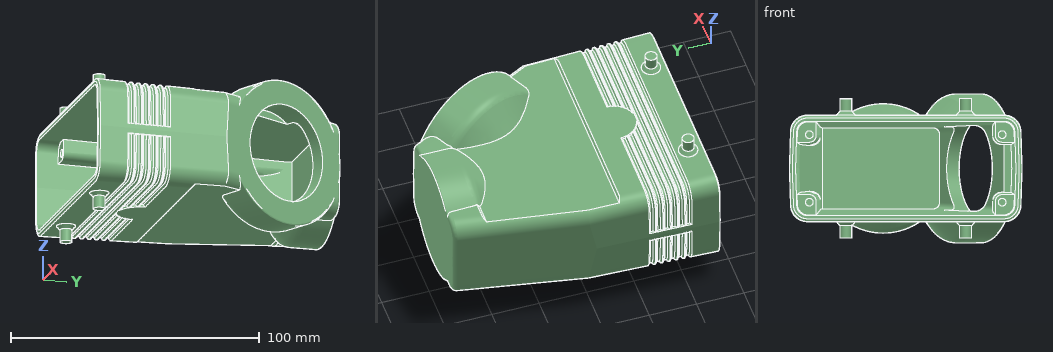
import cadquery as cq
import math


LENGTH = 109.4
MOUTH_HALF_WIDTH = 46.76
END_HALF_WIDTH = 44.47
MOUTH_HALF_HEIGHT = 21.4
END_HALF_HEIGHT = 19.8
SIDE_LEAN = 0.7
CORNER_RADIUS = 6.8
END_EDGE_RADIUS = 2.0

LEFT_WALL_POINT = (-45.3, 54.3)
LEFT_WALL_ANGLE = 170.3
RIGHT_WALL_POINT = (30.6, 82.9)
RIGHT_WALL_ANGLE = 27.2

RECESS_DEPTH = 1.0
RECESS_START = 40.6
RECESS_END = 96.3

PORT_RIM_LENGTH = 11.6
PORT_EDGE_RADIUS = 0.5
PORT_BLEND_RADIUS = 5.9
CONE_ANGLE = 45
END_PORT_RADIUS = 26.0
END_PORT_X = -9.1
SIDE_PORT_RADIUS = 30.0
SIDE_PORT_HOLE_RADIUS = 20.0

MOUTH_WALL = 2.5
END_HALF_HEIGHT_INSIDE = 16.3
LEFT_WALL_THICKNESS = 3.3
THICK_WALL = 5.7
LEDGE_Y = 53.3
CAVITY_CORNER = 2.5
RIM_STEP = 1.2
RIM_BEVEL = 0.5

BOSS_FRONT = 9.0
BOSS_INNER_X = 36.0
BOSS_INNER_Z = 10.5
BOSS_CORNER = 2.7
BOSS_DRAFT = 1.2
BOSS_HOLE_RADIUS = 1.5
BOSS_HOLE_DEPTH = 16.4
BOSS_HOLE_X = 38.7
BOSS_HOLE_Z = 13.6

GROOVE_COUNT = 6
GROOVE_FIRST = 12.1
GROOVE_PITCH = 3.1
GROOVE_WIDTH = 2.6
GROOVE_DEPTH = 1.0
GROOVE_FLOOR = 1.1
GROOVE_GAP = 4.2
THUMB_RADIUS = 9.1

PIN_X = 24.1
PIN_Y = 6.6
PIN_RADIUS = 2.4
PIN_TIP_Z = 28.0
PIN_FOOT_RADIUS = 3.9
PIN_FOOT_Z = 23

BIG = 4 * LENGTH
OVERCUT = 0.3


def along(start, end, y):
    """Value at y of a size that changes evenly from the mouth to the closed end."""
    return start + (end - start) * y / LENGTH


def corner_points(y, inset=0.0):
    """Sharp corners of the outer cross-section at y, whose side walls are ridged at z = 0."""
    ridge_x = along(MOUTH_HALF_WIDTH, END_HALF_WIDTH, y) - inset
    corner_z = along(MOUTH_HALF_HEIGHT, END_HALF_HEIGHT, y) - inset
    corner_x = ridge_x - SIDE_LEAN * corner_z / MOUTH_HALF_HEIGHT
    corners = [
        (ridge_x, 0), (corner_x, corner_z), (-corner_x, corner_z),
        (-ridge_x, 0), (-corner_x, -corner_z), (corner_x, -corner_z),
    ]
    return [cq.Vector(x, y, z) for x, z in corners]


def section(y, inset=0.0):
    """Outer cross-section at y with rounded corners, moved inwards by inset."""
    wire = cq.Wire.makePolygon(corner_points(y, inset), close=True)
    sharp = [v for v in wire.Vertices() if abs(v.Z) > CORNER_RADIUS]
    return wire.fillet2D(CORNER_RADIUS - inset, sharp)


def flat_face(points):
    return cq.Face.makeFromWires(cq.Wire.makePolygon(points, close=True))


def flat_sided(front, back):
    """Solid with flat sides between two outlines that have the same number of corners."""
    faces = [flat_face(front), flat_face(back)]
    for i in range(len(front)):
        faces.append(flat_face([front[i - 1], front[i], back[i], back[i - 1]]))
    return cq.Workplane(obj=cq.Solid.makeSolid(cq.Shell.makeShell(faces)).fix())


def ruled_loft(wires):
    return cq.Workplane(obj=cq.Solid.makeLoft(wires, True))


def wall_plane(point, angle, inset=0.0):
    """Plane of a slanted wall, facing outwards and moved inwards by inset."""
    nx = math.cos(math.radians(angle))
    ny = math.sin(math.radians(angle))
    origin = (point[0] - inset * nx, point[1] - inset * ny, 0)
    return cq.Plane(origin=origin, xDir=(0, 0, 1), normal=(nx, ny, 0))


def outside_wall(point, angle, inset=0.0):
    """Block that fills the space outside a slanted wall."""
    return cq.Workplane(wall_plane(point, angle, inset)).rect(BIG, BIG).extrude(BIG)


def mirrored(half):
    """Add the mirror image of a feature on the other side of z = 0."""
    return half.union(half.mirror("XY"))


def make_body():
    body = flat_sided(corner_points(0), corner_points(LENGTH))
    body = body.cut(outside_wall(LEFT_WALL_POINT, LEFT_WALL_ANGLE))
    body = body.cut(outside_wall(RIGHT_WALL_POINT, RIGHT_WALL_ANGLE))
    long_edges = [
        e for e in body.edges().vals()
        if e.BoundingBox().ylen > CORNER_RADIUS
        and abs(e.Center().z) > END_HALF_HEIGHT / 2
    ]
    body = body.newObject(long_edges).fillet(CORNER_RADIUS)
    return body.faces(">Y").edges().fillet(END_EDGE_RADIUS)


def make_recesses():
    def surface_z(y):
        return along(MOUTH_HALF_HEIGHT, END_HALF_HEIGHT, y)

    def floor_point(y):
        return (y, surface_z(y) - RECESS_DEPTH)

    above = RECESS_DEPTH
    profile = [
        (RECESS_START - above, surface_z(RECESS_START) + above),
        floor_point(RECESS_START + RECESS_DEPTH),
        floor_point(RECESS_END - RECESS_DEPTH),
        (RECESS_END + above, surface_z(RECESS_END) + above),
    ]
    recess = cq.Workplane("YZ").polyline(profile).close().extrude(LENGTH, both=True)
    return mirrored(recess)


def make_port(radius, face_point, angle):
    """Port boss: a cylinder blending into a cone that runs back into the body."""
    turn = math.radians(CONE_ANGLE)
    blend_length = PORT_BLEND_RADIUS * math.sin(turn)
    blend_drop = PORT_BLEND_RADIUS * (1 - math.cos(turn))
    half_length = PORT_BLEND_RADIUS * math.sin(turn / 2)
    half_drop = PORT_BLEND_RADIUS * (1 - math.cos(turn / 2))
    cone_radius = radius - blend_drop
    cone_drop = cone_radius / 2
    cone_length = cone_drop / math.tan(turn)
    cone_start = PORT_RIM_LENGTH + blend_length
    profile = (
        cq.Workplane("XY")
        .lineTo(radius - PORT_EDGE_RADIUS, 0)
        .radiusArc((radius, -PORT_EDGE_RADIUS), PORT_EDGE_RADIUS)
        .lineTo(radius, -PORT_RIM_LENGTH)
        .threePointArc(
            (radius - half_drop, -PORT_RIM_LENGTH - half_length),
            (cone_radius, -cone_start),
        )
        .lineTo(cone_radius - cone_drop, -cone_start - cone_length)
        .lineTo(0, -cone_start - cone_length)
        .close()
    )
    port = profile.revolve(360, (0, 0, 0), (0, 1, 0))
    port = port.rotate((0, 0, 0), (0, 0, 1), angle - 90)
    return port.translate((face_point[0], face_point[1], 0))


def make_cavity():
    floor_y = LENGTH - THICK_WALL
    floor_inset = along(MOUTH_HALF_HEIGHT, END_HALF_HEIGHT, floor_y) - END_HALF_HEIGHT_INSIDE
    ledge_inset = MOUTH_WALL + (floor_inset - MOUTH_WALL) * LEDGE_Y / floor_y
    left_wall = outside_wall(LEFT_WALL_POINT, LEFT_WALL_ANGLE, LEFT_WALL_THICKNESS)
    port_wall = outside_wall(RIGHT_WALL_POINT, RIGHT_WALL_ANGLE, THICK_WALL)
    front = ruled_loft([section(0, MOUTH_WALL), section(LEDGE_Y, ledge_inset)]).cut(left_wall)
    back = flat_sided(corner_points(LEDGE_Y, ledge_inset), corner_points(floor_y, floor_inset))
    back = back.cut(left_wall).cut(port_wall)
    port_wall_edges = [
        e for e in back.edges().vals()
        if e.Center().x > 0 and e.BoundingBox().ylen > CAVITY_CORNER
    ]
    back = back.newObject(port_wall_edges).fillet(CAVITY_CORNER)
    return front.union(back).cut(make_bosses())


def make_bosses():
    """Four drafted corner posts, each with a blind screw hole in its front face."""
    outer_x = MOUTH_HALF_WIDTH + BOSS_CORNER
    outer_z = MOUTH_HALF_HEIGHT + BOSS_CORNER
    front = cq.Workplane(cq.Plane(origin=(0, BOSS_FRONT, 0), xDir=(-1, 0, 0), normal=(0, 1, 0)))
    post = (
        front.moveTo(outer_x, outer_z)
        .lineTo(BOSS_INNER_X, outer_z)
        .lineTo(BOSS_INNER_X, BOSS_INNER_Z + BOSS_CORNER)
        .radiusArc((BOSS_INNER_X + BOSS_CORNER, BOSS_INNER_Z), -BOSS_CORNER)
        .lineTo(outer_x, BOSS_INNER_Z)
        .close()
        .extrude(LENGTH, taper=-BOSS_DRAFT)
    )
    hole = front.center(BOSS_HOLE_X, BOSS_HOLE_Z).circle(BOSS_HOLE_RADIUS).extrude(BOSS_HOLE_DEPTH)
    post = post.cut(hole)
    return mirrored(post.union(post.mirror("YZ")))


def outer_ring(stations):
    """Ring around the body whose inner surface joins the given (y, inset) stations."""
    first_y = stations[0][0]
    last_y = stations[-1][0]
    block = cq.Workplane("XZ", origin=(0, first_y, 0)).rect(BIG, BIG).extrude(first_y - last_y)
    return block.cut(ruled_loft([section(y, inset) for y, inset in stations]))


def make_rim_bevel():
    """Ring that thins the outer edge of the mouth."""
    overcut_y = OVERCUT * RIM_BEVEL / RIM_STEP
    return outer_ring([(0, RIM_STEP), (RIM_BEVEL + overcut_y, -OVERCUT)])


def make_grooves():
    """Trapezoidal grooves around the body, broken at the side ridges and at the thumb discs."""
    flank = (GROOVE_WIDTH - GROOVE_FLOOR) / 2
    overcut_y = OVERCUT * flank / GROOVE_DEPTH
    grooves = []
    for i in range(GROOVE_COUNT):
        front = GROOVE_FIRST + i * GROOVE_PITCH
        back = front + GROOVE_WIDTH
        grooves.append(outer_ring([
            (front - overcut_y, -OVERCUT),
            (front + flank, GROOVE_DEPTH),
            (back - flank, GROOVE_DEPTH),
            (back + overcut_y, -OVERCUT),
        ]))
    side_strip = cq.Workplane().box(BIG, BIG, GROOVE_GAP)
    thumb_y = GROOVE_FIRST + (GROOVE_COUNT - 1) * GROOVE_PITCH + GROOVE_WIDTH
    thumb_disc = cq.Workplane().center(0, thumb_y).circle(THUMB_RADIUS).extrude(BIG, both=True)
    return [groove.cut(side_strip).cut(thumb_disc) for groove in grooves]


def make_pins():
    """Locking pins with conical feet on the top and bottom faces near the mouth."""
    root_z = END_HALF_HEIGHT
    foot_z = along(MOUTH_HALF_HEIGHT, END_HALF_HEIGHT, PIN_Y)
    profile = (
        cq.Workplane("XZ")
        .moveTo(0, root_z)
        .lineTo(PIN_FOOT_RADIUS, root_z)
        .lineTo(PIN_FOOT_RADIUS, foot_z)
        .lineTo(PIN_RADIUS, PIN_FOOT_Z)
        .lineTo(PIN_RADIUS, PIN_TIP_Z)
        .lineTo(0, PIN_TIP_Z)
        .close()
    )
    pin = profile.revolve(360, (0, 0, 0), (0, 1, 0)).translate((PIN_X, PIN_Y, 0))
    return mirrored(pin.union(pin.mirror("YZ")))


end_port = make_port(END_PORT_RADIUS, (END_PORT_X, LENGTH), 90)
side_port = make_port(SIDE_PORT_RADIUS, RIGHT_WALL_POINT, RIGHT_WALL_ANGLE)
side_port_hole = (
    cq.Workplane(wall_plane(RIGHT_WALL_POINT, RIGHT_WALL_ANGLE))
    .circle(SIDE_PORT_HOLE_RADIUS)
    .extrude(2 * THICK_WALL, both=True)
)

body = make_body().cut(make_recesses()).cut(make_rim_bevel())
for groove in make_grooves():
    body = body.cut(groove)
body = body.union(end_port).union(side_port).union(make_pins())
result = body.cut(make_cavity()).cut(side_port_hole)